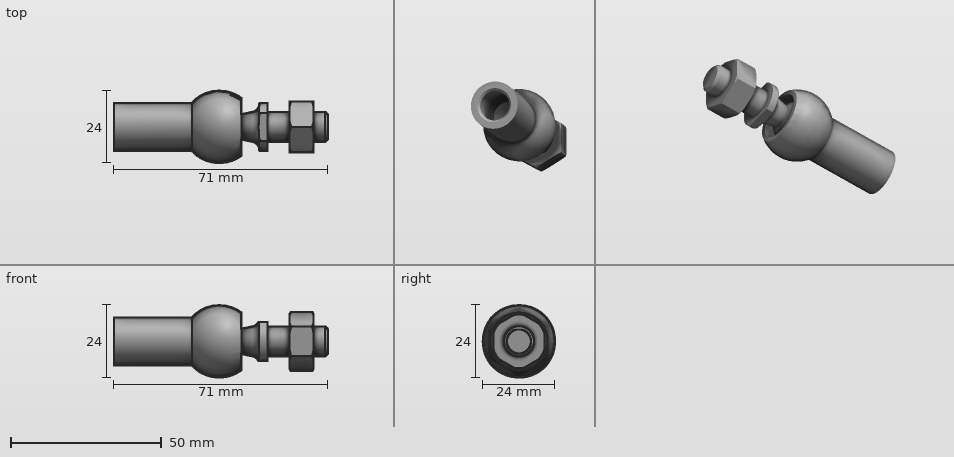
import cadquery as cq
import math

TOTAL_LENGTH = 71.0

SPHERE_DIAMETER = 24.0
SPHERE_CENTER_X = 34.9
HOUSING_END_X = 42.25
SHANK_DIAMETER = 16.0
BORE_DIAMETER = 10.0
BORE_DEPTH = 20.0
BORE_MOUTH_DIAMETER = 11.5
DRILL_POINT_ANGLE = 120.0
MOUTH_CONE_ANGLE = 45.0

BALL_DIAMETER = 16.0
STUD_DIAMETER = 10.0
TIP_CHAMFER = 1.0
NECK_MIN_RADIUS = 4.1
NECK_MID_RADIUS = 4.6
NECK_MAX_RADIUS = 5.05
NECK_MID_X = 44.4
NECK_END_X = 46.3
COLLAR_DIAMETER = 16.0
COLLAR_ACROSS_FLATS = 13.0
COLLAR_THICKNESS = 2.85
COLLAR_END_X = 51.0
COLLAR_EDGE_RADIUS = 0.65
NECK_FILLET_END_RADIUS = 6.95

NUT_SIDES = 6
NUT_ACROSS_FLATS = 17.0
NUT_THICKNESS = 8.0
NUT_START_X = 58.2
NUT_CHAMFER_DIAMETER = 17.8
NUT_CHAMFER_ANGLE = 30.0


def revolve_about_x(profile):
    """Turn a closed profile drawn in the XY plane about the X axis."""
    return profile.close().revolve(360, (0, 0, 0), (1, 0, 0))


def x_cylinder(start_x, end_x, diameter):
    """Plain cylinder on the X axis."""
    return cq.Workplane("YZ", origin=(start_x, 0, 0)).circle(diameter / 2).extrude(end_x - start_x)


def ball(diameter):
    """Full sphere on the joint centre."""
    return cq.Workplane("XY").sphere(diameter / 2).translate((SPHERE_CENTER_X, 0, 0))


def make_housing():
    """Spherical head on a bored shank, with an open seat for the ball."""
    shank = x_cylinder(0, SPHERE_CENTER_X, SHANK_DIAMETER)
    head = ball(SPHERE_DIAMETER).intersect(x_cylinder(0, HOUSING_END_X, SPHERE_DIAMETER))

    bore_radius = BORE_DIAMETER / 2
    mouth_radius = BORE_MOUTH_DIAMETER / 2
    mouth_depth = (mouth_radius - bore_radius) / math.tan(math.radians(MOUTH_CONE_ANGLE))
    point_depth = bore_radius / math.tan(math.radians(DRILL_POINT_ANGLE / 2))
    bore = revolve_about_x(
        cq.Workplane("XY")
        .moveTo(0, 0)
        .lineTo(0, mouth_radius)
        .lineTo(mouth_depth, bore_radius)
        .lineTo(BORE_DEPTH, bore_radius)
        .lineTo(BORE_DEPTH + point_depth, 0)
    )
    opening = x_cylinder(SPHERE_CENTER_X, HOUSING_END_X, BALL_DIAMETER)
    return shank.union(head).cut(bore).cut(ball(BALL_DIAMETER)).cut(opening)


def make_flat_cutter():
    """Space outside the two collar flats, which face +Z and -Z, from the neck fillet to the stud."""
    length = COLLAR_END_X - NECK_END_X
    plane = cq.Workplane("YZ", origin=(NECK_END_X, 0, 0))
    surround = plane.rect(2 * COLLAR_DIAMETER, 2 * COLLAR_DIAMETER).extrude(length)
    kept = plane.rect(2 * COLLAR_DIAMETER, COLLAR_ACROSS_FLATS).extrude(length)
    return surround.cut(kept)


def make_ball_stud():
    """Ball, waisted neck, flatted collar and plain stud turned in one piece."""
    ball_radius = BALL_DIAMETER / 2
    neck_start_x = SPHERE_CENTER_X + math.sqrt(ball_radius**2 - NECK_MIN_RADIUS**2)
    collar_radius = COLLAR_DIAMETER / 2
    collar_start_x = COLLAR_END_X - COLLAR_THICKNESS
    stud_radius = STUD_DIAMETER / 2
    corner_shift = COLLAR_EDGE_RADIUS * (1 - math.sqrt(0.5))
    turned = revolve_about_x(
        cq.Workplane("XY")
        .moveTo(SPHERE_CENTER_X - ball_radius, 0)
        .threePointArc((SPHERE_CENTER_X, ball_radius), (neck_start_x, NECK_MIN_RADIUS))
        .threePointArc((NECK_MID_X, NECK_MID_RADIUS), (NECK_END_X, NECK_MAX_RADIUS))
        .tangentArcPoint((collar_start_x, NECK_FILLET_END_RADIUS), relative=False)
        .lineTo(collar_start_x, collar_radius - COLLAR_EDGE_RADIUS)
        .threePointArc(
            (collar_start_x + corner_shift, collar_radius - corner_shift),
            (collar_start_x + COLLAR_EDGE_RADIUS, collar_radius),
        )
        .lineTo(COLLAR_END_X, collar_radius)
        .lineTo(COLLAR_END_X, stud_radius)
        .lineTo(TOTAL_LENGTH - TIP_CHAMFER, stud_radius)
        .lineTo(TOTAL_LENGTH, stud_radius - TIP_CHAMFER)
        .lineTo(TOTAL_LENGTH, 0)
    )
    return turned.cut(make_flat_cutter())


def make_nut():
    """Hexagon nut with corners up and down, chamfered at both ends."""
    corner_radius = NUT_ACROSS_FLATS / 2 / math.cos(math.pi / NUT_SIDES)
    chamfer_radius = NUT_CHAMFER_DIAMETER / 2
    chamfer_depth = (corner_radius - chamfer_radius) * math.tan(math.radians(NUT_CHAMFER_ANGLE))
    end_x = NUT_START_X + NUT_THICKNESS
    hexagon = (
        cq.Workplane("YZ", origin=(NUT_START_X, 0, 0))
        .polygon(NUT_SIDES, 2 * corner_radius)
        .extrude(NUT_THICKNESS)
        .rotate((0, 0, 0), (1, 0, 0), 90)
    )
    envelope = revolve_about_x(
        cq.Workplane("XY")
        .moveTo(NUT_START_X, 0)
        .lineTo(NUT_START_X, chamfer_radius)
        .lineTo(NUT_START_X + chamfer_depth, corner_radius)
        .lineTo(end_x - chamfer_depth, corner_radius)
        .lineTo(end_x, chamfer_radius)
        .lineTo(end_x, 0)
    )
    hole = x_cylinder(NUT_START_X, end_x, STUD_DIAMETER)
    return hexagon.intersect(envelope).cut(hole)


housing = make_housing()
ball_stud = make_ball_stud()
nut = make_nut()

result = cq.Compound.makeCompound([housing.val(), ball_stud.val(), nut.val()])